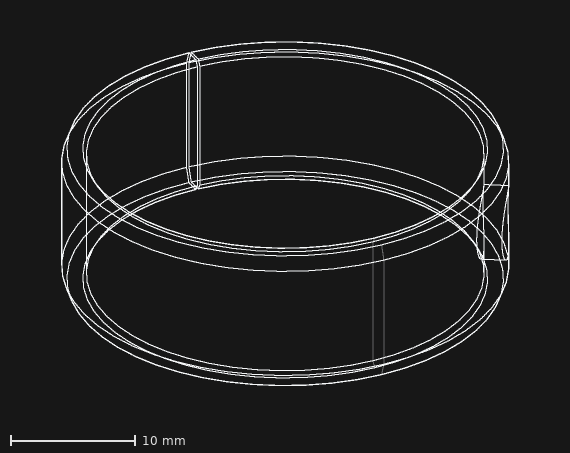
import cadquery as cq

outer_diameter = 36.0
inner_diameter = 32.0
height = 12.0

outer_bevel_radial = 0.45
outer_bevel_axial = 1.2
inner_bevel_radial = 0.3
inner_bevel_axial = 0.5

slit_width = 0.2

hole_diameter = 6.0
hole_angle = 59.0

outer_radius = outer_diameter / 2
inner_radius = inner_diameter / 2


def ring_body():
    """Revolve the bevelled wall section around Z."""
    top = height / 2
    section = (
        cq.Workplane("XZ")
        .moveTo(inner_radius + inner_bevel_radial, top)
        .lineTo(outer_radius - outer_bevel_radial, top)
        .lineTo(outer_radius, top - outer_bevel_axial)
        .lineTo(outer_radius, -top + outer_bevel_axial)
        .lineTo(outer_radius - outer_bevel_radial, -top)
        .lineTo(inner_radius + inner_bevel_radial, -top)
        .lineTo(inner_radius, -top + inner_bevel_axial)
        .lineTo(inner_radius, top - inner_bevel_axial)
        .close()
    )
    return section.revolve(360, (0, 0, 0), (0, 1, 0))


def slit_cutter():
    """Thin slab from the axis out past the -X wall."""
    slab = cq.Workplane("XY").box(outer_diameter, slit_width, 2 * height)
    return slab.translate((-outer_radius, slit_width / 2, 0))


def hole_cutter():
    """Cylinder from the axis out past the wall at the hole angle."""
    cylinder = cq.Workplane("YZ").circle(hole_diameter / 2).extrude(outer_diameter)
    return cylinder.rotate((0, 0, 0), (0, 0, 1), hole_angle)


result = ring_body().cut(slit_cutter()).cut(hole_cutter())